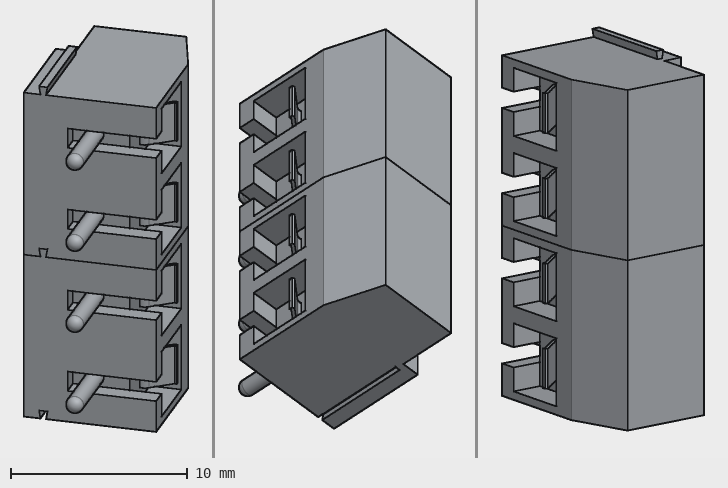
import cadquery as cq
import math


MODULE_COUNT = 2
POLES_PER_MODULE = 2
MODULE_HEIGHT = 10.0
PITCH = MODULE_HEIGHT / POLES_PER_MODULE
WIDTH = 7.81
DEPTH = 10.2
STEP_WIDTH = 1.19
STEP_LENGTH = 3.71

RAIL_CENTER_X = 1.15
RAIL_TIP_WIDTH = 0.5
RAIL_BASE_WIDTH = 0.33
RAIL_HEIGHT = 0.5
RAIL_LENGTH = 6.0

SLOT_START_X = 2.58
SLOT_HEIGHT = 1.19
SLOT_DEPTH = 1.09
CAVITY_START_X = 5.95
CAVITY_SIZE = 4.0

PIN_DIAMETER = 1.0
PIN_RADIUS = PIN_DIAMETER / 2
PIN_REACH = 3.55
PIN_X = WIDTH / 2

GUARD_WIDTH = 2.34
GUARD_THICKNESS = 0.2
GUARD_BEND_RADIUS = 0.57
GUARD_SLOPE = math.radians(38)
GUARD_TIP_ANGLE = math.radians(15)
GUARD_START_X = 6.0
GUARD_FLAT_START_X = 6.5
GUARD_FOLD_X = 7.75
GUARD_END_X = 7.87
GUARD_END_Y = 3.92

POLE_HEIGHTS = [(pole + 0.5) * PITCH for pole in range(MODULE_COUNT * POLES_PER_MODULE)]


def make_dovetail(base_z):
    """Dovetail bar standing on the level base_z, running in from the mounting face."""
    half_base = RAIL_BASE_WIDTH / 2
    half_tip = RAIL_TIP_WIDTH / 2
    return (
        cq.Workplane("XZ", origin=(RAIL_CENTER_X, 0, base_z))
        .polyline([
            (-half_base, 0),
            (half_base, 0),
            (half_tip, RAIL_HEIGHT),
            (-half_tip, RAIL_HEIGHT),
        ])
        .close()
        .extrude(-RAIL_LENGTH)
    )


def make_pole_opening(pole_z):
    """Slot in the mounting face joined to the wire-entry cavity."""
    slot = cq.Workplane("XY").box(
        WIDTH - SLOT_START_X, SLOT_DEPTH, SLOT_HEIGHT, centered=(False, False, True)
    ).translate((SLOT_START_X, 0, pole_z))
    cavity = cq.Workplane("XY").box(
        WIDTH - CAVITY_START_X, CAVITY_SIZE, CAVITY_SIZE, centered=(False, False, True)
    ).translate((CAVITY_START_X, SLOT_DEPTH, pole_z))
    return slot.union(cavity)


def make_housing(module):
    """Two-pole housing with a rail on top and a groove underneath."""
    base_z = module * MODULE_HEIGHT
    shoulder_y = DEPTH - STEP_LENGTH
    body = (
        cq.Workplane("XY", origin=(0, 0, base_z))
        .polyline([
            (0, 0),
            (WIDTH, 0),
            (WIDTH, shoulder_y),
            (WIDTH - STEP_WIDTH, DEPTH),
            (STEP_WIDTH, DEPTH),
            (STEP_WIDTH, shoulder_y),
            (0, shoulder_y),
        ])
        .close()
        .extrude(MODULE_HEIGHT)
    )
    housing = body.union(make_dovetail(base_z + MODULE_HEIGHT)).cut(make_dovetail(base_z))
    first_pole = module * POLES_PER_MODULE
    for pole_z in POLE_HEIGHTS[first_pole:first_pole + POLES_PER_MODULE]:
        housing = housing.cut(make_pole_opening(pole_z))
    return housing


def make_pin(pole_z):
    """Round pin standing on the floor of the slot, with a hemispherical tip."""
    shoulder_y = PIN_RADIUS - PIN_REACH
    diagonal = PIN_RADIUS * math.sqrt(0.5)
    return (
        cq.Workplane("XY")
        .moveTo(0, SLOT_DEPTH)
        .lineTo(PIN_RADIUS, SLOT_DEPTH)
        .lineTo(PIN_RADIUS, shoulder_y)
        .threePointArc((diagonal, shoulder_y - diagonal), (0, -PIN_REACH))
        .close()
        .revolve(360, (0, 0, 0), (0, 1, 0))
        .translate((PIN_X, 0, pole_z))
    )


def make_guard(pole_z):
    """Bent strip whose root lies beside the cavity wall and whose tip leaves the housing."""
    fold_y = GUARD_END_Y + (GUARD_END_X - GUARD_FOLD_X) * math.tan(GUARD_TIP_ANGLE)
    flat_start_y = fold_y - (GUARD_FOLD_X - GUARD_FLAT_START_X) * math.tan(GUARD_SLOPE)
    center_x = GUARD_FLAT_START_X - GUARD_BEND_RADIUS * math.sin(GUARD_SLOPE)
    center_y = flat_start_y + GUARD_BEND_RADIUS * math.cos(GUARD_SLOPE)
    inner_radius = GUARD_BEND_RADIUS - GUARD_THICKNESS

    def on_bend(radius, angle):
        return (center_x + radius * math.sin(angle), center_y - radius * math.cos(angle))

    def root_angle(radius):
        return math.asin((GUARD_START_X - center_x) / radius)

    outer_root = root_angle(GUARD_BEND_RADIUS)
    inner_root = root_angle(inner_radius)

    bisector = (GUARD_SLOPE - GUARD_TIP_ANGLE) / 2
    miter = GUARD_THICKNESS / math.cos((GUARD_SLOPE + GUARD_TIP_ANGLE) / 2)
    inner_fold_x = GUARD_FOLD_X - miter * math.sin(bisector)
    inner_fold_y = fold_y + miter * math.cos(bisector)
    inner_end_y = inner_fold_y - (GUARD_END_X - inner_fold_x) * math.tan(GUARD_TIP_ANGLE)

    return (
        cq.Workplane("XY", origin=(0, 0, pole_z))
        .moveTo(*on_bend(GUARD_BEND_RADIUS, outer_root))
        .threePointArc(
            on_bend(GUARD_BEND_RADIUS, (outer_root + GUARD_SLOPE) / 2),
            on_bend(GUARD_BEND_RADIUS, GUARD_SLOPE),
        )
        .lineTo(GUARD_FOLD_X, fold_y)
        .lineTo(GUARD_END_X, GUARD_END_Y)
        .lineTo(GUARD_END_X, inner_end_y)
        .lineTo(inner_fold_x, inner_fold_y)
        .lineTo(*on_bend(inner_radius, GUARD_SLOPE))
        .threePointArc(
            on_bend(inner_radius, (inner_root + GUARD_SLOPE) / 2),
            on_bend(inner_radius, inner_root),
        )
        .close()
        .extrude(GUARD_WIDTH / 2, both=True)
    )


housings = [make_housing(module).val() for module in range(MODULE_COUNT)]
pins = [make_pin(pole_z).val() for pole_z in POLE_HEIGHTS]
guards = [make_guard(pole_z).val() for pole_z in POLE_HEIGHTS]

result = cq.Compound.makeCompound([*housings, *pins, *guards])